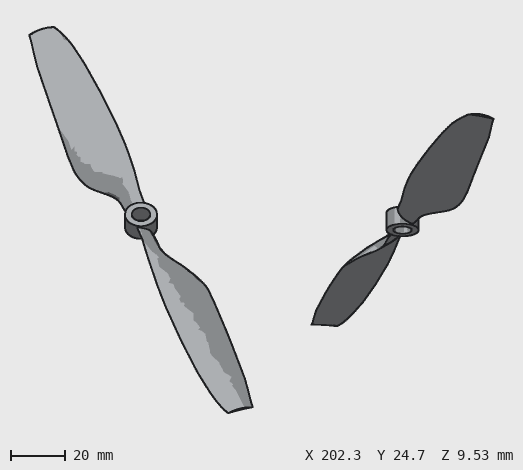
import cadquery as cq
import math

span = 202.3
hub_diameter = 11.7
bore_diameter = 6.7
hub_bottom = -2.8
hub_top = 4.0

blade_stations = [
    (4.0, -3.2, 3.2, 2.6, -2.2, 3.0, 0.0),
    (8.0, -3.6, 3.5, 2.6, -2.5, 3.0, 0.0),
    (12.1, -4.0, 3.6, 2.6, -2.8, 3.0, 0.2),
    (18.2, -5.0, 4.2, 3.8, -3.6, 2.8, 0.8),
    (23.0, -5.9, 4.5, 7.5, -4.2, 2.6, 1.2),
    (28.1, -6.5, 4.5, 10.5, -4.9, 2.5, 1.5),
    (33.4, -7.0, 4.2, 12.0, -4.7, 2.2, 1.6),
    (42.5, -7.9, 3.6, 12.0, -4.0, 2.0, 1.6),
    (56.6, -8.5, 3.0, 10.5, -2.5, 1.8, 1.6),
    (72.8, -8.7, 2.2, 9.0, -1.2, 1.6, 1.5),
    (89.0, -7.9, 1.8, 6.9, -0.2, 1.2, 1.0),
    (97.0, -6.5, 1.2, 5.3, 0.2, 1.0, 0.8),
    (span / 2, -5.0, 1.0, 4.7, 0.5, 0.8, 0.6),
]


def blade_section(distance, lead_y, lead_z, trail_y, trail_z, thickness, camber):
    """Return the closed lens of two arcs that forms the blade at one station."""
    chord_y = trail_y - lead_y
    chord_z = trail_z - lead_z
    chord = math.hypot(chord_y, chord_z)
    normal_y = -chord_z / chord
    normal_z = chord_y / chord

    def mid_chord_point(offset):
        middle_y = (lead_y + trail_y) / 2
        middle_z = (lead_z + trail_z) / 2
        return middle_y + offset * normal_y, middle_z + offset * normal_z

    lead = (lead_y, lead_z)
    trail = (trail_y, trail_z)
    upper = mid_chord_point(camber + thickness / 2)
    lower = mid_chord_point(camber - thickness / 2)
    section = cq.Workplane("YZ", origin=(distance, 0, 0)).moveTo(*lead)
    section = section.threePointArc(upper, trail).threePointArc(lower, lead).close()
    return section.val()


def make_blade():
    """Loft one blade through all its stations."""
    sections = [blade_section(*station) for station in blade_stations]
    return cq.Workplane(cq.Solid.makeLoft(sections))


def hub_cylinder(diameter):
    """Return a cylinder on the hub axis, as tall as the hub."""
    return cq.Workplane("XY", origin=(0, 0, hub_bottom)).circle(diameter / 2).extrude(hub_top - hub_bottom)


blade = make_blade()
opposite_blade = blade.rotate((0, 0, 0), (0, 0, 1), 180)
hub = hub_cylinder(hub_diameter)
bore = hub_cylinder(bore_diameter)
result = hub.union(blade).union(opposite_blade).cut(bore)